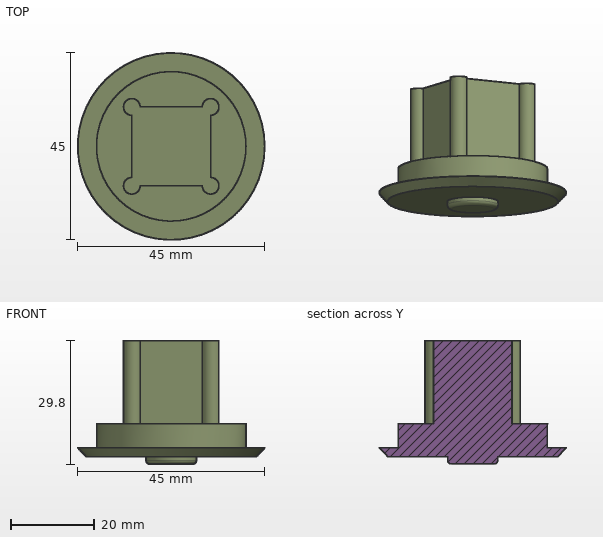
import cadquery as cq

flange_diameter = 45.05
flange_base_diameter = 41.0
flange_height = 2.2
rim_height = 0.1

shoulder_diameter = 36.0
shoulder_height = 5.75

post_side = 18.95
post_height = 20.0
column_diameter = 4.0

button_diameter = 12.2
button_height = 1.8
button_edge_radius = 1.0

flange_bottom = button_height
flange_top = flange_bottom + flange_height
shoulder_top = flange_top + shoulder_height


def disc(diameter, bottom, height):
    """Upright cylinder on the part's axis."""
    return cq.Workplane("XY").workplane(offset=bottom).circle(diameter / 2).extrude(height)


def flange():
    """Revolve the half profile of the tapered flange about the Z axis."""
    return (
        cq.Workplane("XZ")
        .moveTo(0, flange_bottom)
        .lineTo(flange_base_diameter / 2, flange_bottom)
        .lineTo(flange_diameter / 2, flange_top - rim_height)
        .lineTo(flange_diameter / 2, flange_top)
        .lineTo(0, flange_top)
        .close()
        .revolve(360, (0, 0, 0), (0, 1, 0))
    )


def post():
    """Square post joined with its four corner columns."""
    base = cq.Workplane("XY").workplane(offset=shoulder_top)
    core = base.rect(post_side, post_side).extrude(post_height)
    columns = (
        base.rect(post_side, post_side, forConstruction=True)
        .vertices()
        .circle(column_diameter / 2)
        .extrude(post_height)
    )
    return core.union(columns)


button = disc(button_diameter, 0, button_height).faces("<Z").edges().fillet(button_edge_radius)
shoulder = disc(shoulder_diameter, flange_top, shoulder_height)

result = button.union(flange()).union(shoulder).union(post())